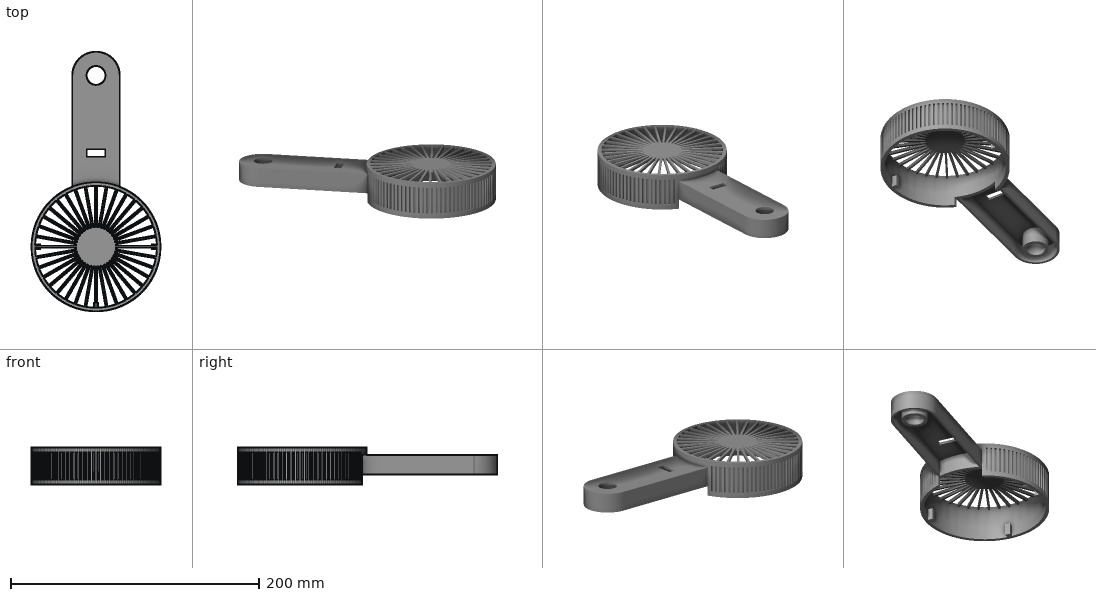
import cadquery as cq
import math

drum_height = 30.0
drum_flat_radius = 52.005
drum_bore_radius = 49.0
facet_count = 180
pocket_depth = 2.0
pocket_width = 1.6
round_half_angle = 13.0
plain_half_angle = 23.0
pocket_margin = 4.0

spoke_count = 36
spoke_width = 1.75
grille_thickness = 2.5
hub_radius = 16.0

block_width = 4.0
block_length = 4.0
block_height = 10.0
block_angles = (180, 270, 360)

handle_angle = 90.0
handle_width = 38.4
handle_bottom = 8.0
handle_top = 24.0
overall_length = 209.2
handle_wall = 2.0
handle_roof = 2.0
hang_hole_diameter = 15.0
hang_hole_wall = 3.0
switch_slot_length = 14.5
switch_slot_width = 5.8
switch_slot_y = 75.5

facet_angle = 360.0 / facet_count
drum_corner_radius = drum_flat_radius / math.cos(math.radians(facet_angle / 2))
handle_tip_y = overall_length - drum_flat_radius
handle_center_y = handle_tip_y - handle_width / 2
handle_height = handle_top - handle_bottom
overlap = 1.0


def polar(radius, degrees):
    angle = math.radians(degrees)
    return (radius * math.cos(angle), radius * math.sin(angle))


def make_drum():
    """Ring with flats outside, plain and round above the handle, and a round bore."""
    first_corner = handle_angle + round_half_angle
    flat_count = facet_count - round(2 * round_half_angle / facet_angle)
    corners = [polar(drum_corner_radius, first_corner + i * facet_angle) for i in range(flat_count + 1)]
    ring = (
        cq.Workplane("XY")
        .polyline(corners)
        .threePointArc((0, drum_corner_radius), corners[0])
        .close()
        .extrude(drum_height)
    )
    return ring.cut(cq.Workplane("XY").circle(drum_bore_radius).extrude(drum_height))


def make_pockets():
    """Shallow rectangular pockets in every second flat."""
    radial_length = pocket_depth + overlap
    middle_radius = drum_flat_radius - pocket_depth + radial_length / 2
    flat_angles = [2 * i * facet_angle for i in range(facet_count // 2)]
    angles = [angle for angle in flat_angles if abs(angle - handle_angle) > plain_half_angle]
    sketch = cq.Sketch()
    for angle in angles:
        x, y = polar(middle_radius, angle)
        sketch = sketch.push([cq.Location(cq.Vector(x, y, 0), cq.Vector(0, 0, 1), angle)])
        sketch = sketch.rect(radial_length, pocket_width).reset()
    plane = cq.Workplane("XY").workplane(offset=pocket_margin)
    return plane.placeSketch(sketch).extrude(drum_height - 2 * pocket_margin)


def make_grille():
    """Central disc and radial spokes, flush with the top of the drum."""
    plane = cq.Workplane("XY").workplane(offset=drum_height - grille_thickness)
    grille = plane.circle(hub_radius).extrude(grille_thickness)
    span = 2 * drum_bore_radius + overlap
    for i in range(spoke_count // 2):
        bar = plane.rect(span, spoke_width).extrude(grille_thickness)
        grille = grille.union(bar.rotate((0, 0, 0), (0, 0, 1), i * 360.0 / spoke_count))
    return grille


def make_blocks():
    """Blocks on the bore at -X, -Y and +X."""
    inner = drum_bore_radius - block_length
    block = (
        cq.Workplane("XY")
        .box(block_length + overlap, block_width, block_height, centered=(False, True, False))
        .translate((inner, 0, 0))
    )
    blocks = cq.Workplane("XY")
    for angle in block_angles:
        blocks = blocks.union(block.rotate((0, 0, 0), (0, 0, 1), angle))
    return blocks


def make_bar(width, height):
    """Bar from the drum axis along +Y with a round far end."""
    half = width / 2
    return (
        cq.Workplane("XY")
        .workplane(offset=handle_bottom)
        .moveTo(-half, 0)
        .lineTo(half, 0)
        .lineTo(half, handle_center_y)
        .threePointArc((0, handle_center_y + half), (-half, handle_center_y))
        .close()
        .extrude(height)
    )


def make_handle():
    """Hollow arm with a hanging hole and a switch slot."""
    bore = cq.Workplane("XY").circle(drum_bore_radius).extrude(drum_height)
    handle = make_bar(handle_width, handle_height)
    cavity = make_bar(handle_width - 2 * handle_wall, handle_height - handle_roof)
    hole_plane = cq.Workplane("XY").workplane(offset=handle_bottom).center(0, handle_center_y)
    tube = hole_plane.circle(hang_hole_diameter / 2 + hang_hole_wall).extrude(handle_height)
    hole = hole_plane.circle(hang_hole_diameter / 2).extrude(handle_height)
    slot = (
        cq.Workplane("XY")
        .workplane(offset=handle_bottom)
        .center(0, switch_slot_y)
        .rect(switch_slot_length, switch_slot_width)
        .extrude(handle_height)
    )
    return handle.cut(cavity).union(tube).cut(hole).cut(slot).cut(bore)


def make_handle_gap():
    """Opening in the drum wall, below the handle."""
    return cq.Workplane("XY").box(
        handle_width, drum_flat_radius + overlap, handle_bottom, centered=(True, False, False)
    )


drum = make_drum().cut(make_pockets()).cut(make_handle_gap())
result = drum.union(make_grille()).union(make_blocks()).union(make_handle())